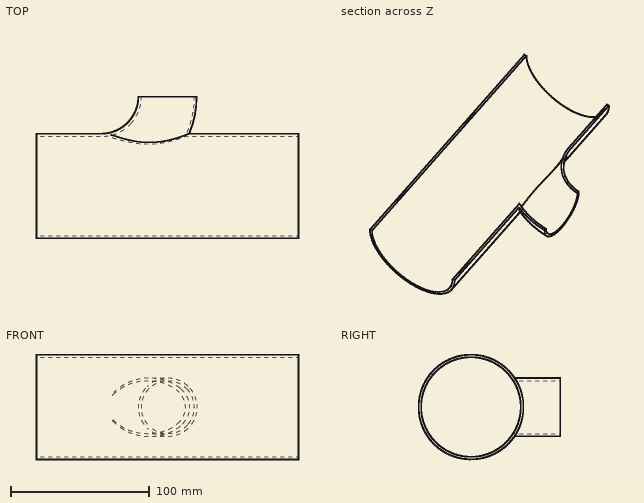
import cadquery as cq

RUN_LENGTH = 190.0
RUN_OUTER_DIAMETER = 76.1
WALL = 2.0
RUN_BORE_DIAMETER = RUN_OUTER_DIAMETER - 2 * WALL

BRANCH_OUTER_DIAMETER = 42.4
BRANCH_BORE_DIAMETER = BRANCH_OUTER_DIAMETER - 2 * WALL
BEND_RADIUS = 48.0
BEND_ANGLE = 90.0
BRANCH_PROJECTION = 26.79
BRANCH_END_Y = RUN_OUTER_DIAMETER / 2 + BRANCH_PROJECTION


def run_cylinder(diameter):
    """Solid cylinder along the full length of the run."""
    return cq.Workplane("YZ").circle(diameter / 2).extrude(RUN_LENGTH / 2, both=True)


def branch_bend(diameter):
    """Solid quarter bend from the open end at x = 0, curving down and back towards -X."""
    end_face = cq.Workplane("XZ", origin=(0, BRANCH_END_Y, 0)).circle(diameter / 2)
    return end_face.revolve(BEND_ANGLE, (-BEND_RADIUS, 1, 0), (-BEND_RADIUS, 0, 0))


def pull_bend_tee():
    """Run and branch joined, then both bores cut through."""
    outside = run_cylinder(RUN_OUTER_DIAMETER).union(branch_bend(BRANCH_OUTER_DIAMETER))
    with_run_bore = outside.cut(run_cylinder(RUN_BORE_DIAMETER))
    return with_run_bore.cut(branch_bend(BRANCH_BORE_DIAMETER))


result = pull_bend_tee()